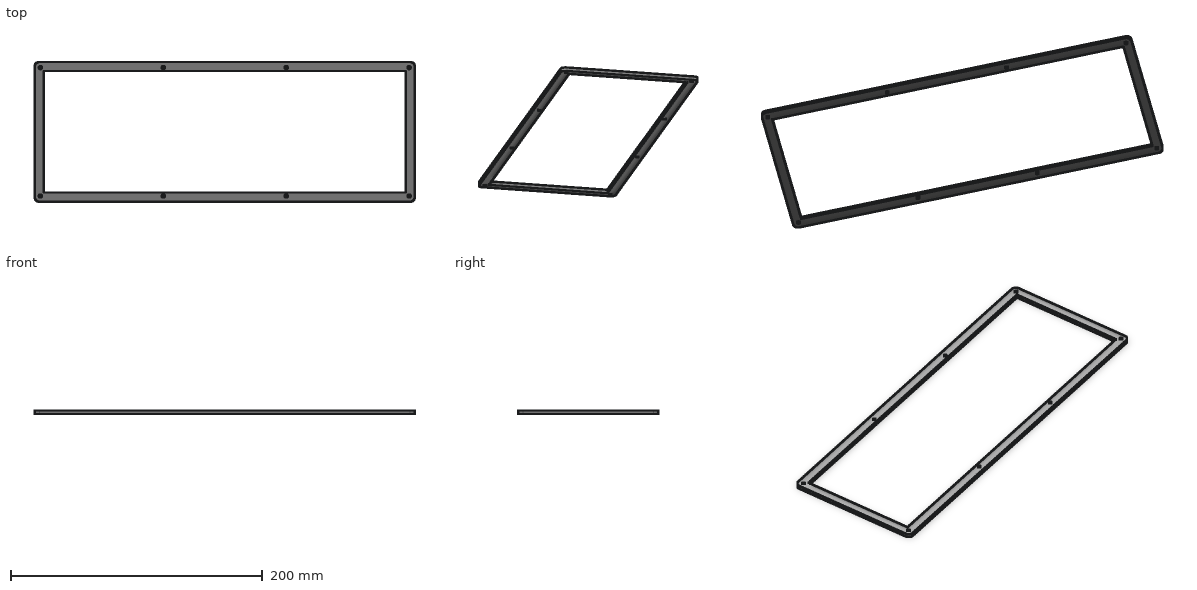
import cadquery as cq

length = 302.15
width = 111.25
thickness = 3.0
corner_radius = 4.0

rail_width = 7.5

hole_diameter = 2.2
hole_inset = 4.625
row_count = 2
holes_per_row = 4
hole_pitch_x = (length - 2 * hole_inset) / (holes_per_row - 1)
row_spacing = width - 2 * hole_inset


def make_plate():
    """Flat plate with rounded corners, centred in X and Y, resting on Z = 0."""
    plate = cq.Workplane("XY").rect(length, width).extrude(thickness)
    return plate.edges("|Z").fillet(corner_radius)


def make_window():
    """Sharp-cornered block that opens the plate into a frame."""
    window_length = length - 2 * rail_width
    window_width = width - 2 * rail_width
    return cq.Workplane("XY").rect(window_length, window_width).extrude(thickness)


def make_screw_holes():
    """Cylinders for the through holes in both long rails."""
    return (
        cq.Workplane("XY")
        .rarray(hole_pitch_x, row_spacing, holes_per_row, row_count)
        .circle(hole_diameter / 2)
        .extrude(thickness)
    )


result = make_plate().cut(make_window()).cut(make_screw_holes())